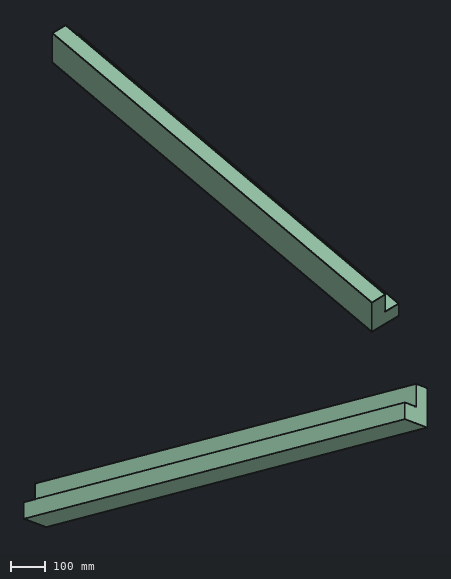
import cadquery as cq

length = 1432.99
width = 101.6
height = 120.65

wall_thickness = width / 2
base_thickness = 50.8


def l_profile_bar():
    """L cross-section in the YZ plane, wall on the -Y side, extruded along X."""
    profile = [
        (0, 0),
        (width, 0),
        (width, base_thickness),
        (wall_thickness, base_thickness),
        (wall_thickness, height),
        (0, height),
    ]
    return cq.Workplane("YZ").polyline(profile).close().extrude(length)


result = l_profile_bar()